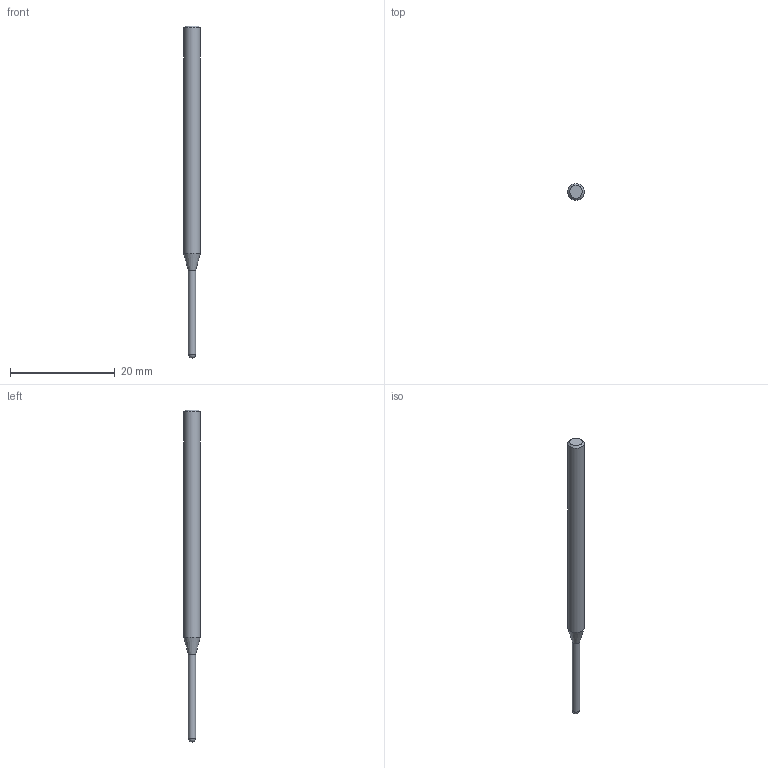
import cadquery as cq

overall_length = 63.5
shank_diameter = 3.175
shank_chamfer = 0.37
cutter_diameter = 1.4
taper_bottom = 16.75
taper_top = 20.0

shank_radius = shank_diameter / 2
cutter_radius = cutter_diameter / 2


def revolve_about_z(profile):
    """Turn a closed (radius, height) profile on the XZ plane about the Z axis."""
    return profile.close().revolve(360, (0, 0), (0, 1))


def make_shank():
    """Chamfered shank with a taper that narrows down to the cutter diameter."""
    profile = (
        cq.Workplane("XZ")
        .moveTo(0, taper_bottom)
        .lineTo(cutter_radius, taper_bottom)
        .lineTo(shank_radius, taper_top)
        .lineTo(shank_radius, overall_length - shank_chamfer)
        .lineTo(shank_radius - shank_chamfer, overall_length)
        .lineTo(0, overall_length)
    )
    return revolve_about_z(profile)


def make_cutter():
    """Straight cutter with a hemispherical tip, butted against the taper."""
    profile = (
        cq.Workplane("XZ")
        .moveTo(0, 0)
        .radiusArc((cutter_radius, cutter_radius), -cutter_radius)
        .lineTo(cutter_radius, taper_bottom)
        .lineTo(0, taper_bottom)
    )
    return revolve_about_z(profile)


shank = make_shank()
cutter = make_cutter()

result = cq.Compound.makeCompound([shank.val(), cutter.val()])